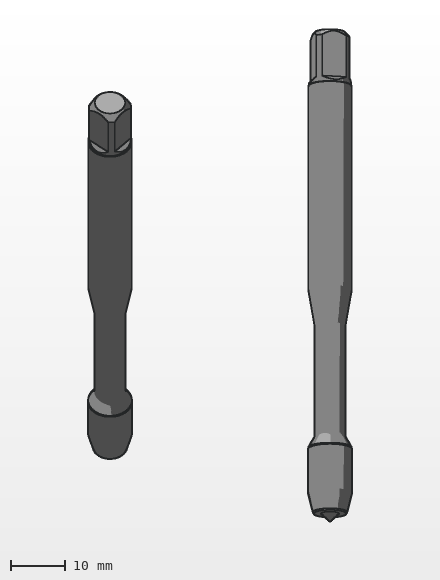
import cadquery as cq
import math

TOTAL_LENGTH = 91.55

SHANK_DIAMETER = 8.0
DRIVE_DIAMETER = 7.7
DRIVE_WIDTH = 6.2
DRIVE_TOP_DIAMETER = 5.5
DRIVE_CHAMFER_HEIGHT = 1.2
FLAT_LENGTH = 8.9
SHANK_TOP_Z = 81.5
SHANK_BOTTOM_Z = 43.4

NECK_DIAMETER = 5.7
NECK_TOP_Z = 36.7

COLLAR_DIAMETER = SHANK_DIAMETER
COLLAR_TOP_Z = 13.9
CONE_ANGLE = math.radians(30)
NECK_FILLET_RADIUS = 1.2

HEAD_DIAMETER = 8.1
HEAD_TOP_Z = 13.6
LEAD_TOP_Z = 5.4
LEAD_BOTTOM_DIAMETER = 6.3
LEAD_BOTTOM_Z = 1.8
END_FACE_DIAMETER = 5.95
END_FACE_Z = 1.6
TIP_DIAMETER = 3.3

SHANK_RADIUS = SHANK_DIAMETER / 2
DRIVE_RADIUS = DRIVE_DIAMETER / 2
NECK_RADIUS = NECK_DIAMETER / 2
COLLAR_RADIUS = COLLAR_DIAMETER / 2
HEAD_RADIUS = HEAD_DIAMETER / 2

DRIVE_BOTTOM_Z = SHANK_TOP_Z + SHANK_RADIUS - DRIVE_RADIUS

FILLET_BOTTOM_RADIUS = NECK_RADIUS + NECK_FILLET_RADIUS * (1 - math.cos(CONE_ANGLE))
FILLET_BOTTOM_Z = COLLAR_TOP_Z + (COLLAR_RADIUS - FILLET_BOTTOM_RADIUS) / math.tan(CONE_ANGLE)
FILLET_TOP_Z = FILLET_BOTTOM_Z + NECK_FILLET_RADIUS * math.sin(CONE_ANGLE)
FILLET_MIDDLE = (
    NECK_RADIUS + NECK_FILLET_RADIUS * (1 - math.cos(CONE_ANGLE / 2)),
    FILLET_TOP_Z - NECK_FILLET_RADIUS * math.sin(CONE_ANGLE / 2),
)


def revolve_about_axis(outline):
    """Turn a closed outline of (radius, height) about the Z axis."""
    return outline.close().revolve(360, (0, 0), (0, 1))


def drive_flat_cutter():
    """Material removed beside the +X flat, ending in a 45 degree run-out."""
    inner = DRIVE_WIDTH / 2
    depth = SHANK_RADIUS
    flat_bottom_z = TOTAL_LENGTH - FLAT_LENGTH
    outline = [
        (inner, TOTAL_LENGTH),
        (inner, flat_bottom_z),
        (inner + depth, flat_bottom_z - depth),
        (inner + depth, TOTAL_LENGTH),
    ]
    return cq.Workplane("XZ").polyline(outline).close().extrude(SHANK_RADIUS, both=True)


def make_shank():
    """Shank with its square drive, neck and collar."""
    outline = (
        cq.Workplane("XZ")
        .moveTo(0, HEAD_TOP_Z)
        .lineTo(COLLAR_RADIUS, HEAD_TOP_Z)
        .lineTo(COLLAR_RADIUS, COLLAR_TOP_Z)
        .lineTo(FILLET_BOTTOM_RADIUS, FILLET_BOTTOM_Z)
        .threePointArc(FILLET_MIDDLE, (NECK_RADIUS, FILLET_TOP_Z))
        .lineTo(NECK_RADIUS, NECK_TOP_Z)
        .lineTo(SHANK_RADIUS, SHANK_BOTTOM_Z)
        .lineTo(SHANK_RADIUS, SHANK_TOP_Z)
        .lineTo(DRIVE_RADIUS, DRIVE_BOTTOM_Z)
        .lineTo(DRIVE_RADIUS, TOTAL_LENGTH - DRIVE_CHAMFER_HEIGHT)
        .lineTo(DRIVE_TOP_DIAMETER / 2, TOTAL_LENGTH)
        .lineTo(0, TOTAL_LENGTH)
    )
    shank = revolve_about_axis(outline)
    for side in range(4):
        shank = shank.cut(drive_flat_cutter().rotate((0, 0, 0), (0, 0, 1), 90 * side))
    return shank


def make_head():
    """Cutting head that meets the collar on a flat face."""
    outline = cq.Workplane("XZ").polyline([
        (0, 0),
        (TIP_DIAMETER / 2, END_FACE_Z),
        (END_FACE_DIAMETER / 2, END_FACE_Z),
        (LEAD_BOTTOM_DIAMETER / 2, LEAD_BOTTOM_Z),
        (HEAD_RADIUS, LEAD_TOP_Z),
        (HEAD_RADIUS, HEAD_TOP_Z),
        (0, HEAD_TOP_Z),
    ])
    return revolve_about_axis(outline)


shank = make_shank()
head = make_head()
result = cq.Compound.makeCompound([shank.val(), head.val()])